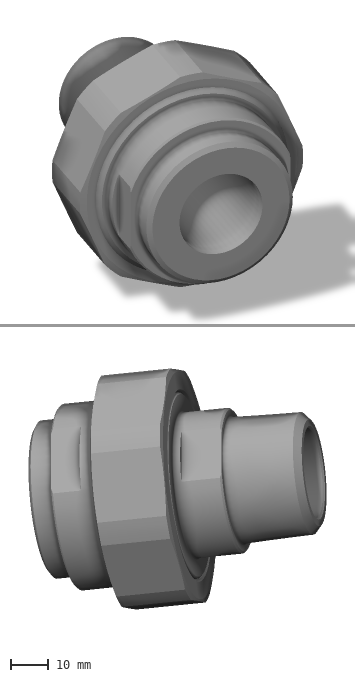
import cadquery as cq
import math


LENGTH = 73.5
BORE_DIAMETER = 24.0
EDGE_CHAMFER = 0.5
RIM_CHAMFER = 0.5
FLAT_CUTTER_SIZE = 73.5

NUT_START = 34.1
NUT_END = 53.9
NUT_DIAMETER = 64.7
NUT_ACROSS_FLATS = 61.95
NUT_FACE_DIAMETER = 61.0
NUT_CHAMFER_LENGTH = 0.45
NUT_SIDES = 8
LIP_DIAMETER = 50.5
LIP_LENGTH = 4.1
NUT_BORE_DIAMETER = 55.85
LIP_END = NUT_START + LIP_LENGTH

TAIL_TIP_DIAMETER = 28.7
TAIL_SMALL_DIAMETER = 32.85
TAIL_LARGE_DIAMETER = 33.95
TAIL_CHAMFER_LENGTH = 1.9
TAIL_END = 21.0
TAIL_ROOT_FILLET = 0.45
HUB_DIAMETER = 39.0
HUB_ACROSS_FLATS = 36.1
HUB_FLAT_END = 32.05
HUB_ROOT_FILLET = 0.45
FLANGE_DIAMETER = 50.0
COLLAR_DIAMETER = 54.4
JOINT_X = 42.6

THREAD_END = 55.05
THREAD_CHAMFER = 1.3
BODY_DIAMETER = 50.0
BODY_END = 66.5
BODY_ACROSS_FLATS = 46.2
BODY_FLAT_START = 58.3
BODY_FLAT_FILLET = 0.4
BODY_ROOT_FILLET = 0.6
SPIGOT_DIAMETER = 42.4
SPIGOT_ROOT_FILLET = 0.65
SPIGOT_CHAMFER_LENGTH = 0.95
SPIGOT_TIP_DIAMETER = 39.7

FILLET_MID = 1 - math.sqrt(0.5)


def root_fillet_up(outline, wall_x, radius, fillet):
    """Run along a cylinder up to a wall facing -X, turning outward through a fillet."""
    offset = FILLET_MID * fillet
    return outline.lineTo(wall_x - fillet, radius).threePointArc(
        (wall_x - offset, radius + offset), (wall_x, radius + fillet)
    )


def root_fillet_down(outline, wall_x, radius, fillet):
    """Run down a wall facing +X onto a cylinder through a fillet."""
    offset = FILLET_MID * fillet
    return outline.lineTo(wall_x, radius + fillet).threePointArc(
        (wall_x + offset, radius + offset), (wall_x + fillet, radius)
    )


def revolve_about_x(outline):
    return outline.close().revolve(360, (0, 0, 0), (1, 0, 0))


def wrench_flat_cutter(start, end, across_flats, fillet=0):
    """Two blocks that leave parallel flats on the +Y and -Y sides."""
    cutters = cq.Workplane("XY")
    for side in (-1, 1):
        block = cq.Workplane("XY").box(end - start, FLAT_CUTTER_SIZE, FLAT_CUTTER_SIZE)
        if fillet:
            inner_side = ">Y" if side < 0 else "<Y"
            block = block.edges("<X and " + inner_side).fillet(fillet)
        offset = side * (across_flats + FLAT_CUTTER_SIZE) / 2
        cutters = cutters.add(block.translate(((start + end) / 2, offset, 0)))
    return cutters


def cut_flats(body, cutters):
    for cutter in cutters.vals():
        body = body.cut(cq.Workplane(cutter))
    return body


def make_tailpiece():
    bore_radius = BORE_DIAMETER / 2
    tail_radius = TAIL_LARGE_DIAMETER / 2
    hub_radius = HUB_DIAMETER / 2
    flange_radius = FLANGE_DIAMETER / 2
    outline = (
        cq.Workplane("XY")
        .moveTo(RIM_CHAMFER, bore_radius)
        .lineTo(0, bore_radius + RIM_CHAMFER)
        .lineTo(0, TAIL_TIP_DIAMETER / 2)
        .lineTo(TAIL_CHAMFER_LENGTH, TAIL_SMALL_DIAMETER / 2)
    )
    outline = root_fillet_up(outline, TAIL_END, tail_radius, TAIL_ROOT_FILLET)
    outline = outline.lineTo(TAIL_END, hub_radius - EDGE_CHAMFER).lineTo(TAIL_END + EDGE_CHAMFER, hub_radius)
    outline = root_fillet_up(outline, NUT_START, hub_radius, HUB_ROOT_FILLET)
    outline = (
        outline.lineTo(NUT_START, flange_radius - EDGE_CHAMFER)
        .lineTo(NUT_START + EDGE_CHAMFER, flange_radius)
        .lineTo(LIP_END, flange_radius)
        .lineTo(LIP_END, COLLAR_DIAMETER / 2)
        .lineTo(JOINT_X, COLLAR_DIAMETER / 2)
        .lineTo(JOINT_X, bore_radius)
    )
    flats = wrench_flat_cutter(TAIL_END, HUB_FLAT_END, HUB_ACROSS_FLATS)
    return cut_flats(revolve_about_x(outline), flats)


def make_nut():
    face_radius = NUT_FACE_DIAMETER / 2
    outer_radius = NUT_DIAMETER / 2
    lip_radius = LIP_DIAMETER / 2
    bore_radius = NUT_BORE_DIAMETER / 2
    ring = revolve_about_x(
        cq.Workplane("XY")
        .moveTo(NUT_START, lip_radius + EDGE_CHAMFER)
        .lineTo(NUT_START, face_radius)
        .lineTo(NUT_START + NUT_CHAMFER_LENGTH, outer_radius)
        .lineTo(NUT_END - NUT_CHAMFER_LENGTH, outer_radius)
        .lineTo(NUT_END, face_radius)
        .lineTo(NUT_END, bore_radius)
        .lineTo(LIP_END, bore_radius)
        .lineTo(LIP_END, lip_radius)
        .lineTo(NUT_START + EDGE_CHAMFER, lip_radius)
    )
    octagon = (
        cq.Workplane("YZ")
        .workplane(offset=NUT_START)
        .polygon(NUT_SIDES, NUT_ACROSS_FLATS / math.cos(math.pi / NUT_SIDES))
        .extrude(NUT_END - NUT_START)
    )
    return ring.intersect(octagon)


def make_end_piece():
    thread_radius = NUT_BORE_DIAMETER / 2
    body_radius = BODY_DIAMETER / 2
    spigot_radius = SPIGOT_DIAMETER / 2
    outline = (
        cq.Workplane("XY")
        .moveTo(JOINT_X, BORE_DIAMETER / 2)
        .lineTo(JOINT_X, thread_radius)
        .lineTo(THREAD_END - THREAD_CHAMFER, thread_radius)
        .lineTo(THREAD_END, thread_radius - THREAD_CHAMFER)
    )
    outline = root_fillet_down(outline, THREAD_END, body_radius, BODY_ROOT_FILLET)
    outline = outline.lineTo(BODY_END - EDGE_CHAMFER, body_radius).lineTo(BODY_END, body_radius - EDGE_CHAMFER)
    outline = root_fillet_down(outline, BODY_END, spigot_radius, SPIGOT_ROOT_FILLET)
    outline = (
        outline.lineTo(LENGTH - SPIGOT_CHAMFER_LENGTH, spigot_radius)
        .lineTo(LENGTH, SPIGOT_TIP_DIAMETER / 2)
        .lineTo(LENGTH, BORE_DIAMETER / 2)
    )
    flats = wrench_flat_cutter(BODY_FLAT_START, BODY_END, BODY_ACROSS_FLATS, BODY_FLAT_FILLET)
    return cut_flats(revolve_about_x(outline), flats)


tailpiece = make_tailpiece()
nut = make_nut()
end_piece = make_end_piece()

result = cq.Compound.makeCompound([tailpiece.val(), nut.val(), end_piece.val()])